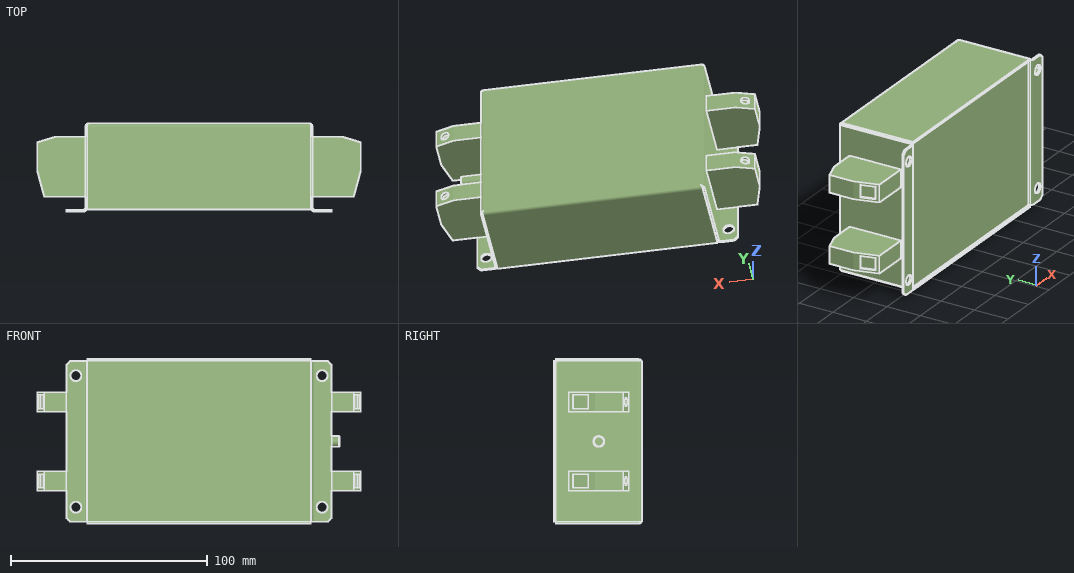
import cadquery as cq
import math

total_length = 165.0
total_depth = 45.0
total_height = 84.0

sheet = 1.0
bend_radius = 2 * sheet
case_length = 115.8
cover_length = case_length - 2 * sheet
wall_height = total_height - 2 * sheet
front_recess = bend_radius - sheet

flange_span = 135.0
flange_chamfer = 2.0
mount_hole_diameter = 5.5
mount_hole_pitch_x = 125.4
mount_hole_pitch_z = 67.0

terminal_height = 10.0
terminal_pitch = 40.3
terminal_front = 7.6
terminal_back = 38.3
tip_front = 21.0
tip_back = 35.3
front_slope_run = 3.6
back_slope_run = 9.5

pocket_length = 8.1
pocket_height = 7.1
pocket_depth = 1.0
pocket_middle_y = 13.5
screw_hole_diameter = 4.3
screw_hole_depth = 2.0

stud_diameter = 5.6
stud_tip_x = 71.6
stud_chamfer = 0.3
stud_y = (terminal_front + terminal_back) / 2


def block(x_range, y_range, height):
    """Box with the given X and Y limits, centred on Z = 0."""
    x0, x1 = x_range
    y0, y1 = y_range
    middle = ((x0 + x1) / 2, (y0 + y1) / 2, 0)
    return cq.Workplane("XY").box(x1 - x0, y1 - y0, height).translate(middle)


def make_case():
    half = case_length / 2
    cover_half = cover_length / 2
    case = block((-half, half), (sheet, total_depth), total_height)
    case = case.faces(">Y").edges().fillet(bend_radius)

    notches = (
        cq.Workplane("XZ")
        .rect(case_length - sheet, total_height - sheet, forConstruction=True)
        .vertices()
        .rect(sheet, sheet)
        .extrude(-total_depth)
    )
    case = case.cut(notches)

    recess = block((-cover_half, cover_half), (sheet, sheet + front_recess), wall_height)
    return case.cut(recess)


def make_flange():
    """Flange on the +X side, with the bend that joins it to the end wall."""
    wall_outside = case_length / 2
    wall_inside = wall_outside - sheet
    bend_end = wall_inside + bend_radius
    edge = flange_span / 2
    diagonal = math.sqrt(0.5)
    inner_radius = bend_radius - sheet

    def on_bend(radius):
        """Middle of the quarter bend at the given radius."""
        return (bend_end - radius * diagonal, bend_radius - radius * diagonal)

    flange = (
        cq.Workplane("XY")
        .moveTo(edge, 0)
        .lineTo(bend_end, 0)
        .threePointArc(on_bend(bend_radius), (wall_inside, bend_radius))
        .lineTo(wall_outside, bend_radius)
        .threePointArc(on_bend(inner_radius), (bend_end, sheet))
        .lineTo(edge, sheet)
        .close()
        .extrude(wall_height / 2, both=True)
    )
    flange = flange.faces(">X").edges("|Y").chamfer(flange_chamfer)
    holes = (
        cq.Workplane("XZ")
        .pushPoints([(mount_hole_pitch_x / 2, side * mount_hole_pitch_z / 2) for side in (-1, 1)])
        .circle(mount_hole_diameter / 2)
        .extrude(-sheet)
    )
    return flange.cut(holes)


def make_terminal():
    """Terminal on the +X side, centred on Z = 0."""
    root = cover_length / 2
    tip = total_length / 2
    terminal = (
        cq.Workplane("XY")
        .polyline([
            (root, terminal_front),
            (tip - front_slope_run, terminal_front),
            (tip, tip_front),
            (tip, tip_back),
            (tip - back_slope_run, terminal_back),
            (root, terminal_back),
        ])
        .close()
        .extrude(terminal_height / 2, both=True)
    )

    front_rise = tip_front - terminal_front
    pocket_x = tip - front_slope_run * (tip_front - pocket_middle_y) / front_rise
    front_slope = cq.Plane(
        origin=(pocket_x, pocket_middle_y, 0),
        xDir=(front_slope_run, front_rise, 0),
        normal=(front_rise, -front_slope_run, 0),
    )
    pocket = cq.Workplane(front_slope).rect(pocket_length, pocket_height).extrude(-pocket_depth)

    back_rise = terminal_back - tip_back
    back_slope = cq.Plane(
        origin=(tip - back_slope_run / 2, (tip_back + terminal_back) / 2, 0),
        xDir=(-back_slope_run, back_rise, 0),
        normal=(back_rise, back_slope_run, 0),
    )
    screw_hole = cq.Workplane(back_slope).circle(screw_hole_diameter / 2).extrude(-screw_hole_depth)
    return terminal.cut(pocket).cut(screw_hole)


def make_stud():
    root = cover_length / 2
    stud = (
        cq.Workplane("YZ", origin=(root, stud_y, 0))
        .circle(stud_diameter / 2)
        .extrude(stud_tip_x - root)
    )
    return stud.faces(">X").chamfer(stud_chamfer)


result = make_case().union(make_stud())

flange = make_flange()
result = result.union(flange).union(flange.mirror("YZ"))

terminal = make_terminal()
for side in (-1, 1):
    placed = terminal.translate((0, 0, side * terminal_pitch / 2))
    result = result.union(placed).union(placed.mirror("YZ"))